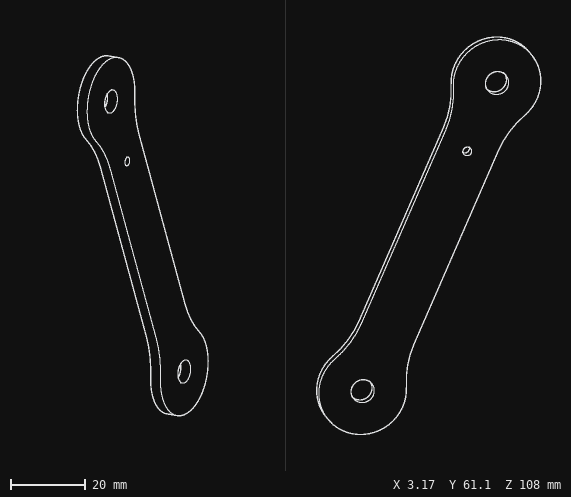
import cadquery as cq
import math

thickness = 3.175
eye_radius = 12.065
eye_hole_diameter = 6.35
eye_spacing_y = 36.96
eye_spacing_z = 83.85
bar_width = 15.875
neck_radius = 25.4

pin_hole_diameter = 2.38
pin_hole_distance = 20.32

eye_spacing = math.hypot(eye_spacing_y, eye_spacing_z)
bar_tilt = math.atan2(eye_spacing_y, eye_spacing_z)

half_width = bar_width / 2
neck_center_y = half_width + neck_radius
neck_center_x = math.sqrt((eye_radius + neck_radius) ** 2 - neck_center_y ** 2)
eye_share = eye_radius / (eye_radius + neck_radius)
eye_tangent_x = neck_center_x * eye_share
eye_tangent_y = neck_center_y * eye_share

neck_half_angle = math.atan2(neck_center_x, neck_center_y) / 2
neck_mid_x = neck_center_x - neck_radius * math.sin(neck_half_angle)
neck_mid_y = neck_center_y - neck_radius * math.cos(neck_half_angle)


def make_plate(plane):
    """Bar with flared necks and a round eye at each end."""
    far_neck_x = eye_spacing - neck_center_x
    far_mid_x = eye_spacing - neck_mid_x
    far_tangent_x = eye_spacing - eye_tangent_x
    outline = (
        cq.Workplane(plane)
        .moveTo(eye_tangent_x, eye_tangent_y)
        .threePointArc((neck_mid_x, neck_mid_y), (neck_center_x, half_width))
        .lineTo(far_neck_x, half_width)
        .threePointArc((far_mid_x, neck_mid_y), (far_tangent_x, eye_tangent_y))
        .threePointArc((eye_spacing + eye_radius, 0), (far_tangent_x, -eye_tangent_y))
        .threePointArc((far_mid_x, -neck_mid_y), (far_neck_x, -half_width))
        .lineTo(neck_center_x, -half_width)
        .threePointArc((neck_mid_x, -neck_mid_y), (eye_tangent_x, -eye_tangent_y))
        .threePointArc((-eye_radius, 0), (eye_tangent_x, eye_tangent_y))
        .close()
    )
    return outline.extrude(thickness)


def make_hole(plane, distance, diameter):
    """Cutter for a through hole on the centreline, placed from the lower eye."""
    return cq.Workplane(plane).center(distance, 0).circle(diameter / 2).extrude(thickness)


plate_plane = cq.Plane(
    origin=(0, 0, 0),
    xDir=(0, -math.sin(bar_tilt), math.cos(bar_tilt)),
    normal=(1, 0, 0),
)

result = make_plate(plate_plane)
result = result.cut(make_hole(plate_plane, 0, eye_hole_diameter))
result = result.cut(make_hole(plate_plane, eye_spacing, eye_hole_diameter))
result = result.cut(make_hole(plate_plane, eye_spacing - pin_hole_distance, pin_hole_diameter))